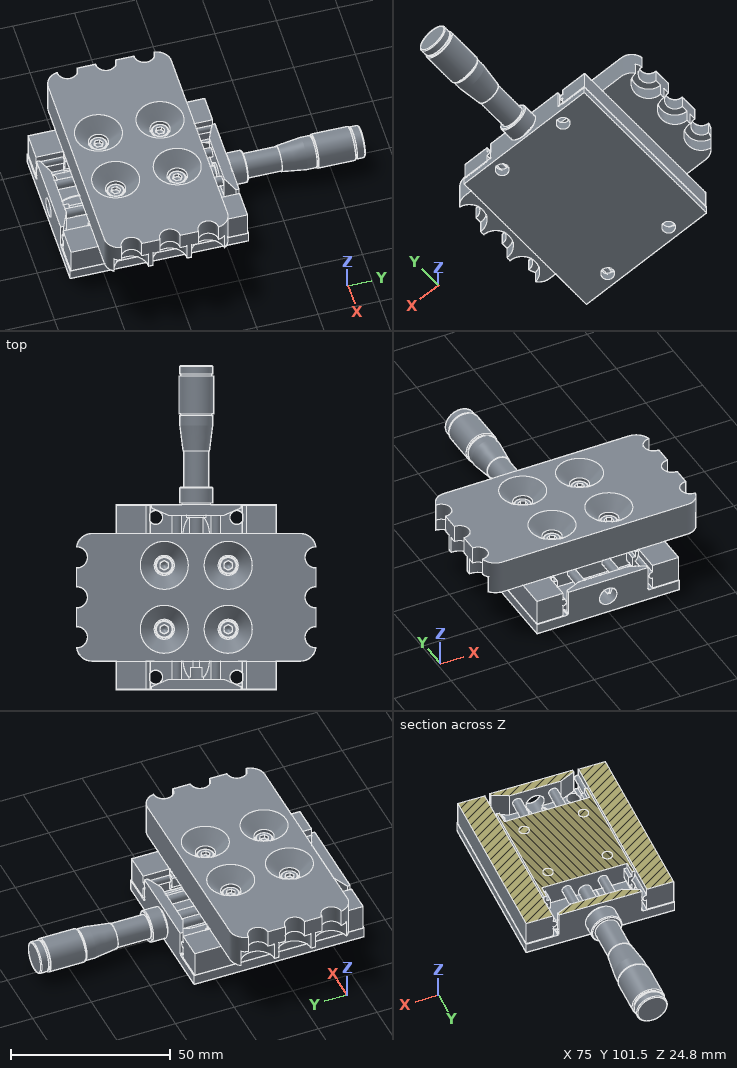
import cadquery as cq
import math

overall_length = 101.5
base_width = 50.0
base_length = 58.0
wall_top = 12.5
axis_z = 6.1
guide_z = 8.7

rail_seat_z = 3.7
floor_z = 4.1
floor_half_width = 14.3
rail_inner_x = 15.7
rail_side_inset = 0.1
rail_end_inset = 0.3
ridge_radius = 1.2
wall_half_width = 14.0
wall_thickness = 3.3
wall_tip_thickness = 1.0
wall_inner_half_width = 8.6
wall_inner_y = base_length / 2 - wall_thickness
wall_bore_radius = 3.0
trough_radius = 2.6
front_bore_depth = 7.0
pocket_depth = 0.4
pocket_half_width = 4.2
pocket_straight_half_length = 19.3
pocket_nose_length = 6.9
pocket_wall_gap = 0.7
mount_hole_radius = 2.1
mount_hole_x = 12.7
mount_hole_y = 25.0
rod_radius = 1.5
rod_x = 6.1

carriage_bottom = 4.8
carriage_half_width = 15.3
arm_inner_x = 14.3
arm_rib_inner_x = 13.2
arm_rib_half_height = 1.8
carriage_half_length = 19.9
body_half_length = 15.8
pad_half_width = 14.0
groove_tip_x = 14.2
groove_half_height = 1.7

plate_width = 75.0
plate_length = 40.0
plate_top = 24.8
plate_thickness = 11.7
plate_bottom = plate_top - plate_thickness
plate_corner_radius = 5.0
notch_pitch = 12.5
notch_radius = 3.2
notch_edge_inset = 0.2
notch_bore_radius = 5.5
notch_bore_depth = 5.8

screw_spacing = 20.0
screw_offset = screw_spacing / 2
screw_centres = [(x, y) for x in (-screw_offset, screw_offset) for y in (-screw_offset, screw_offset)]
cone_radius = 7.5
head_bore_radius = 3.1
cone_depth = cone_radius - head_bore_radius
head_radius = 2.7
head_chamfer = 0.3
head_height = 3.0
head_recess = 0.7
head_top = plate_top - cone_depth - head_recess
head_seat = head_top - head_height
shank_radius = 1.5
shank_length = 8.0
hex_flats = 2.6
hex_depth = 1.3
hex_point_depth = 0.7

spindle_radius = 2.1
shank_end_y = 25.0
neck_radius = 4.5
nut_radius = 5.2
nut_start_y = 29.4
nut_end_y = 34.5
stem_radius = 4.0
cone_start_y = 45.8
cone_small_radius = 4.2
sleeve_start_y = 53.7
sleeve_radius = 5.2
sleeve_end_y = 56.8
thimble_start_y = 57.3
thimble_radius = 5.5
thimble_end_y = 69.2
cap_start_y = 69.8
groove_radius = 4.9
cap_radius = 5.2
cap_end_y = overall_length - base_length / 2
edge_chamfer = 0.3


def box(x0, x1, y0, y1, z0, z1):
    """Box between pairs of opposite face positions."""
    return cq.Workplane("XY").box(x1 - x0, y1 - y0, z1 - z0, centered=False).translate((x0, y0, z0))


def centred_box(half_x, half_y, z0, z1):
    """Box centred on the Z axis."""
    return box(-half_x, half_x, -half_y, half_y, z0, z1)


def y_cylinder(x, z, radius, y0, y1):
    """Cylinder along Y from y0 to y1."""
    return cq.Workplane("XZ", origin=(x, y0, z)).circle(radius).extrude(y0 - y1)


def both_sides(solid):
    """A shape on the +X side together with its mirror image on the -X side."""
    return solid.union(solid.mirror("YZ"))


def guide_rods():
    return both_sides(y_cylinder(rod_x, guide_z, rod_radius, -wall_inner_y, wall_inner_y))


def rail():
    """Side rail on +X with a half-round ridge on its inner face."""
    end_y = base_length / 2 - rail_end_inset
    outer_x = base_width / 2 - rail_side_inset
    block = box(rail_inner_x, outer_x, -end_y, end_y, rail_seat_z, wall_top)
    return block.union(y_cylinder(rail_inner_x, guide_z, ridge_radius, -end_y, end_y))


def rear_wall():
    """End wall on +Y, tapering in thickness towards both tips."""
    outer_y = base_length / 2
    tip_y = outer_y - wall_tip_thickness
    half_outline = [
        (wall_half_width, outer_y),
        (wall_half_width, tip_y),
        (wall_inner_half_width, wall_inner_y),
    ]
    other_half = [(-x, y) for x, y in reversed(half_outline)]
    return (
        cq.Workplane("XY")
        .polyline(half_outline + other_half)
        .close()
        .extrude(wall_top)
    )


def floor_pocket():
    """Shallow pocket along the floor with half-elliptical ends, cut square just short of each wall."""
    bottom_z = floor_z - pocket_depth
    noses = (
        cq.Workplane("XY", origin=(0, 0, bottom_z))
        .pushPoints([(0, -pocket_straight_half_length), (0, pocket_straight_half_length)])
        .ellipse(pocket_half_width, pocket_nose_length)
        .extrude(pocket_depth)
    )
    pocket = noses.union(centred_box(pocket_half_width, pocket_straight_half_length, bottom_z, floor_z))
    return pocket.intersect(centred_box(pocket_half_width, wall_inner_y - pocket_wall_gap, bottom_z, floor_z))


def make_base():
    wall = rear_wall()
    base = centred_box(base_width / 2, base_length / 2, 0, rail_seat_z)
    base = base.union(centred_box(floor_half_width, base_length / 2, 0, floor_z))
    base = base.union(wall).union(wall.mirror("XZ"))

    base = base.cut(floor_pocket())

    end_y = base_length / 2
    base = base.cut(y_cylinder(0, axis_z, trough_radius, -end_y, end_y))
    base = base.cut(y_cylinder(0, axis_z, wall_bore_radius, -end_y, front_bore_depth - end_y))
    base = base.cut(y_cylinder(0, axis_z, wall_bore_radius, shank_end_y, end_y))

    mount_holes = (
        cq.Workplane("XY")
        .rect(2 * mount_hole_x, 2 * mount_hole_y, forConstruction=True)
        .vertices()
        .circle(mount_hole_radius)
        .extrude(floor_z)
    )
    base = base.cut(mount_holes)
    return base.union(both_sides(rail())).union(guide_rods())


def make_carriage():
    carriage = centred_box(carriage_half_width, body_half_length, carriage_bottom, wall_top)
    carriage = carriage.union(centred_box(pad_half_width, body_half_length, wall_top, plate_bottom))

    arms = box(
        arm_inner_x, carriage_half_width,
        -carriage_half_length, carriage_half_length,
        carriage_bottom, wall_top,
    )
    ribs = box(
        arm_rib_inner_x, carriage_half_width,
        -carriage_half_length, carriage_half_length,
        guide_z - arm_rib_half_height, guide_z + arm_rib_half_height,
    )
    carriage = carriage.union(both_sides(arms)).union(both_sides(ribs))

    groove = (
        cq.Workplane("XZ", origin=(0, -carriage_half_length, 0))
        .moveTo(groove_tip_x, guide_z)
        .lineTo(carriage_half_width, guide_z + groove_half_height)
        .lineTo(carriage_half_width, guide_z - groove_half_height)
        .close()
        .extrude(-2 * carriage_half_length)
    )
    carriage = carriage.cut(both_sides(groove)).cut(guide_rods())

    shank_tip_z = head_seat - shank_length
    screw_holes = (
        cq.Workplane("XY", origin=(0, 0, shank_tip_z))
        .rect(screw_spacing, screw_spacing, forConstruction=True)
        .vertices()
        .circle(shank_radius)
        .extrude(plate_bottom - shank_tip_z)
    )
    return carriage.cut(screw_holes)


def screw_seat():
    """Conical mouth, head bore and shank hole, on the Z axis."""
    return (
        cq.Workplane("XZ")
        .moveTo(0, plate_top)
        .lineTo(cone_radius, plate_top)
        .lineTo(head_bore_radius, plate_top - cone_depth)
        .lineTo(head_bore_radius, head_seat)
        .lineTo(shank_radius, head_seat)
        .lineTo(shank_radius, plate_bottom)
        .lineTo(0, plate_bottom)
        .close()
        .revolve(360, (0, 0, 0), (0, 1, 0))
    )


def make_plate():
    plate = centred_box(plate_width / 2, plate_length / 2, plate_bottom, plate_top)
    plate = plate.edges("|Z").fillet(plate_corner_radius)

    notch_x = plate_width / 2 - notch_edge_inset
    notch_centres = [(side * notch_x, step * notch_pitch) for side in (-1, 1) for step in (-1, 0, 1)]
    notch_plane = cq.Workplane("XY", origin=(0, 0, plate_bottom)).pushPoints(notch_centres)
    plate = plate.cut(notch_plane.circle(notch_radius).extrude(plate_thickness))
    plate = plate.cut(notch_plane.circle(notch_bore_radius).extrude(notch_bore_depth))

    for x, y in screw_centres:
        plate = plate.cut(screw_seat().translate((x, y, 0)))
    return plate


def make_screw():
    """Socket head screw on the Z axis."""
    head = (
        cq.Workplane("XY", origin=(0, 0, head_seat))
        .circle(head_radius)
        .extrude(head_height)
        .faces(">Z")
        .chamfer(head_chamfer)
    )
    shank = cq.Workplane("XY", origin=(0, 0, head_seat)).circle(shank_radius).extrude(-shank_length)

    hex_corner_diameter = hex_flats / math.cos(math.pi / 6)
    socket = (
        cq.Workplane("XY")
        .polygon(6, hex_corner_diameter)
        .extrude(-hex_depth)
        .rotate((0, 0, 0), (0, 0, 1), 30)
        .translate((0, 0, head_top))
    )
    point = cq.Workplane(
        cq.Solid.makeCone(
            hex_flats / 2, 0, hex_point_depth,
            pnt=cq.Vector(0, 0, head_top - hex_depth), dir=cq.Vector(0, 0, -1),
        )
    )
    return head.union(shank).cut(socket).cut(point)


def make_micrometer():
    """Turned profile revolved about the micrometer axis, from spindle tip to end cap."""
    wall_outer_y = base_length / 2
    profile = [
        (0, body_half_length),
        (spindle_radius, body_half_length),
        (spindle_radius, shank_end_y),
        (wall_bore_radius, shank_end_y),
        (wall_bore_radius, wall_outer_y),
        (neck_radius, wall_outer_y),
        (neck_radius, nut_start_y),
        (nut_radius, nut_start_y),
        (nut_radius, nut_end_y - edge_chamfer),
        (nut_radius - edge_chamfer, nut_end_y),
        (stem_radius, nut_end_y),
        (stem_radius, cone_start_y),
        (cone_small_radius, cone_start_y),
        (sleeve_radius, sleeve_start_y),
        (sleeve_radius, sleeve_end_y),
        (groove_radius, sleeve_end_y),
        (groove_radius, thimble_start_y),
        (thimble_radius, thimble_start_y),
        (thimble_radius, thimble_end_y),
        (groove_radius, thimble_end_y),
        (groove_radius, cap_start_y),
        (cap_radius, cap_start_y),
        (cap_radius, cap_end_y - edge_chamfer),
        (cap_radius - edge_chamfer, cap_end_y),
        (0, cap_end_y),
    ]
    return (
        cq.Workplane("XY")
        .polyline(profile)
        .close()
        .revolve(360, (0, 0, 0), (0, 1, 0))
        .translate((0, 0, axis_z))
    )


base = make_base()
carriage = make_carriage()
plate = make_plate()
micrometer = make_micrometer()
screws = [make_screw().translate((x, y, 0)) for x, y in screw_centres]

result = cq.Compound.makeCompound([
    base.val(),
    carriage.val(),
    plate.val(),
    micrometer.val(),
    *[screw.val() for screw in screws],
])